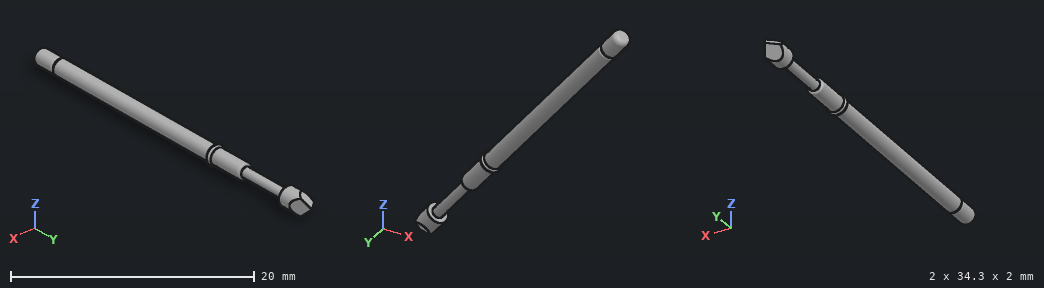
import cadquery as cq
import math

total_length = 34.3

head_radius = 1.0
head_length = 3.05
point_faces = 3
face_angle = 60.0

shaft_radius = 0.5

barrel_radius = 0.82
barrel_length = 25.95
mouth_round = 0.2
tail_round = 0.45

ring_radius = 1.0
ring_width = 0.5
ring_rear = 22.0

groove_centre = 2.5
groove_round = 0.17
groove_floor = 0.07

head_base = total_length - head_length


def cylinder(radius, start, end):
    """Solid cylinder on the Y axis between two Y positions."""
    return cq.Workplane("XZ", origin=(0, start, 0)).circle(radius).extrude(start - end)


def revolve_about_axis(profile):
    """Full turn of an XY profile about the Y axis."""
    return profile.revolve(360, (0, 0, 0), (0, 1, 0))


def make_head():
    """Cylinder cut to a pyramid point; one face looks toward +X."""
    head = cylinder(head_radius, head_base, total_length)
    wedge_reach = head_radius * 2
    wedge_drop = wedge_reach * math.tan(math.radians(face_angle))
    wedge = (
        cq.Workplane("XY")
        .moveTo(0, total_length)
        .lineTo(wedge_reach, total_length - wedge_drop)
        .lineTo(wedge_reach, total_length)
        .close()
        .extrude(wedge_reach, both=True)
    )
    for index in range(point_faces):
        turn = index * 360 / point_faces
        head = head.cut(wedge.rotate((0, 0, 0), (0, 1, 0), turn))
    return head


def make_barrel():
    """Cylinder with a rounded mouth and a more rounded tail."""
    barrel = cylinder(barrel_radius, 0, barrel_length)
    barrel = barrel.faces(">Y").edges().fillet(mouth_round)
    return barrel.faces("<Y").edges().fillet(tail_round)


def make_ring():
    """Disc whose rim is a full half round."""
    half_width = ring_width / 2
    rim_centre = ring_radius - half_width
    ring_front = ring_rear + ring_width
    profile = (
        cq.Workplane("XY")
        .moveTo(0, ring_rear)
        .lineTo(rim_centre, ring_rear)
        .threePointArc((ring_radius, ring_rear + half_width), (rim_centre, ring_front))
        .lineTo(0, ring_front)
        .close()
    )
    return revolve_about_axis(profile)


def make_groove():
    """Material removed between the rounded edges and the floor of the groove."""
    floor_radius = barrel_radius - groove_round
    floor_rear = groove_centre - groove_floor / 2
    floor_front = groove_centre + groove_floor / 2
    arc_rise = groove_round * math.sqrt(0.5)
    arc_run = groove_round - arc_rise
    profile = (
        cq.Workplane("XY")
        .moveTo(barrel_radius, floor_rear - groove_round)
        .threePointArc((floor_radius + arc_rise, floor_rear - arc_run), (floor_radius, floor_rear))
        .lineTo(floor_radius, floor_front)
        .threePointArc(
            (floor_radius + arc_rise, floor_front + arc_run),
            (barrel_radius, floor_front + groove_round),
        )
        .close()
    )
    return revolve_about_axis(profile)


shaft = cylinder(shaft_radius, ring_rear, head_base)
result = make_barrel().cut(make_groove()).union(make_ring()).union(shaft).union(make_head())